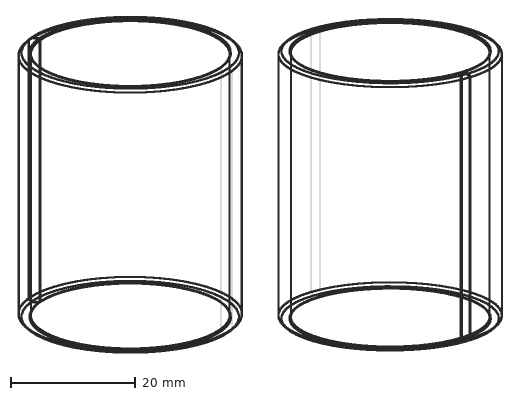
import cadquery as cq

OUTER_DIAMETER = 36.0
BORE_DIAMETER = 32.0
LENGTH = 45.0
OUTER_CHAMFER = 0.5
BORE_CHAMFER = 0.2
SLIT_WIDTH = 0.3

OUTER_RADIUS = OUTER_DIAMETER / 2
BORE_RADIUS = BORE_DIAMETER / 2


def chamfered_sleeve():
    """Tube about Z with both ends chamfered on the outside and in the bore."""
    section = [
        (BORE_RADIUS, BORE_CHAMFER),
        (BORE_RADIUS + BORE_CHAMFER, 0),
        (OUTER_RADIUS - OUTER_CHAMFER, 0),
        (OUTER_RADIUS, OUTER_CHAMFER),
        (OUTER_RADIUS, LENGTH - OUTER_CHAMFER),
        (OUTER_RADIUS - OUTER_CHAMFER, LENGTH),
        (BORE_RADIUS + BORE_CHAMFER, LENGTH),
        (BORE_RADIUS, LENGTH - BORE_CHAMFER),
    ]
    axis_start = (0, 0)
    axis_end = (0, 1)
    return cq.Workplane("XZ").polyline(section).close().revolve(360, axis_start, axis_end)


def wall_slit():
    """Full-length cutter that splits the wall on the -X side; one slit face lies on the XZ plane."""
    cutter = cq.Workplane("XY").box(OUTER_DIAMETER, SLIT_WIDTH, LENGTH, centered=(True, False, False))
    return cutter.translate((-OUTER_RADIUS, 0, 0))


result = chamfered_sleeve().cut(wall_slit())